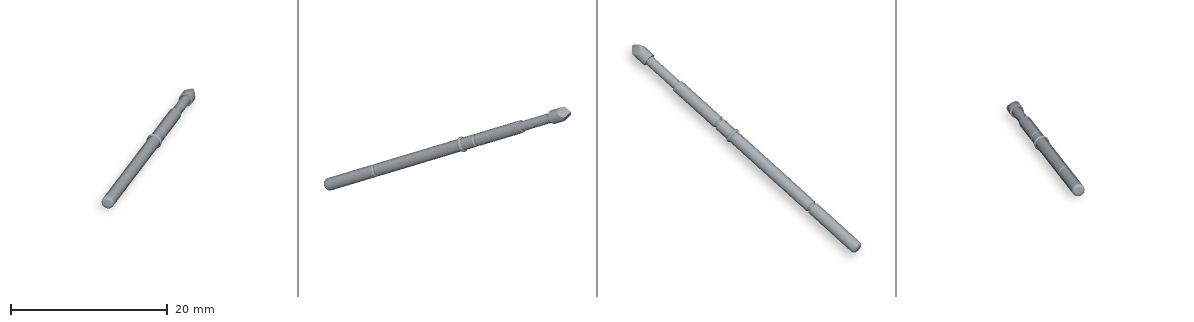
import cadquery as cq
import math

total_length = 40.0

head_radius = 0.9
head_length = 3.0
shaft_radius = 0.65
point_face_angle = 30.0
point_sides = 3

barrel_radius = 0.82
barrel_length = 32.0
end_fillet = 0.45

ring_radius = 1.0
ring_width = 0.5
ring_y = 22.25

groove_width = 0.4
groove_depth = 0.15
groove_positions = (8.2, 24.65)


def cylinder(radius, start_y, end_y):
    """Solid cylinder around the Y axis between two Y positions."""
    axis = cq.Vector(0, 1, 0)
    start = cq.Vector(0, start_y, 0)
    return cq.Workplane(cq.Solid.makeCylinder(radius, end_y - start_y, start, axis))


def make_barrel():
    """Plain barrel with a rounded closed end."""
    return cylinder(barrel_radius, 0, barrel_length).faces("<Y").edges().fillet(end_fillet)


def make_ring():
    """Press ring whose rim is fully rounded."""
    half_width = ring_width / 2
    rim_radius = ring_radius - half_width
    return (
        cq.Workplane("XY")
        .moveTo(0, ring_y - half_width)
        .lineTo(rim_radius, ring_y - half_width)
        .threePointArc((ring_radius, ring_y), (rim_radius, ring_y + half_width))
        .lineTo(0, ring_y + half_width)
        .close()
        .revolve(360, (0, 0, 0), (0, 1, 0))
    )


def make_groove(groove_y):
    """Ring of material to remove, with an arc-shaped floor."""
    half_width = groove_width / 2
    return (
        cq.Workplane("XY")
        .moveTo(barrel_radius, groove_y - half_width)
        .threePointArc((barrel_radius - groove_depth, groove_y), (barrel_radius, groove_y + half_width))
        .close()
        .revolve(360, (0, 0, 0), (0, 1, 0))
    )


def flat_face(points):
    """Flat face spanning the given corner points."""
    return cq.Face.makeFromWires(cq.Wire.makePolygon(points, close=True))


def make_point_pyramid():
    """Regular pyramid with its apex at the tip of the probe and one edge towards -X."""
    base_y = total_length - head_length
    side_distance = head_length * math.tan(math.radians(point_face_angle))
    corner_distance = side_distance / math.cos(math.pi / point_sides)

    apex = cq.Vector(0, total_length, 0)
    corners = []
    for index in range(point_sides):
        angle = math.pi + index * 2 * math.pi / point_sides
        x = corner_distance * math.cos(angle)
        z = corner_distance * math.sin(angle)
        corners.append(cq.Vector(x, base_y, z))

    faces = [flat_face(corners)]
    for index in range(point_sides):
        faces.append(flat_face([corners[index - 1], corners[index], apex]))
    return cq.Workplane(cq.Solid.makeSolid(cq.Shell.makeShell(faces)))


def make_plunger():
    """Thin shaft carrying a cylindrical head that is cut to a three-sided point."""
    head_start = total_length - head_length
    shaft = cylinder(shaft_radius, barrel_length, head_start)
    head = cylinder(head_radius, head_start, total_length).intersect(make_point_pyramid())
    return shaft.union(head)


result = make_barrel().union(make_ring())
for groove_position in groove_positions:
    result = result.cut(make_groove(groove_position))
result = result.union(make_plunger())